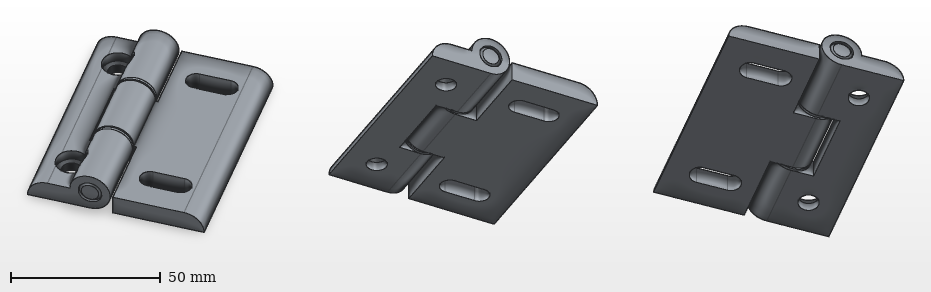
import cadquery as cq

hinge_width = 62.0
hinge_length = 76.0
barrel_radius = 7.1
axis_x = 22.0
axis_z = barrel_radius
leaf_thickness = barrel_radius
edge_radius = leaf_thickness

pin_radius = 4.1
pin_chamfer = 1.1

swing_clearance = 0.9
middle_knuckle_length = 23.7
washer_thickness = 0.9
washer_gap = 0.6
knuckle_opening = middle_knuckle_length + 2 * (washer_thickness + washer_gap)
clearance_radius = barrel_radius + swing_clearance
opening_left_x = axis_x - clearance_radius
plate_left_x = axis_x + clearance_radius

fixing_spacing = 50.9
fixing_y_positions = [-fixing_spacing / 2, fixing_spacing / 2]
hole_x = 11.55
hole_diameter = 7.1
counterbore_diameter = 11.0
counterbore_floor_z = 3.35
slot_x = 44.5
slot_length = 18.1
slot_width = hole_diameter


def outline_from(start_x, start_z):
    """Start an outline in the XZ plane at the given point."""
    return cq.Workplane("XZ").moveTo(start_x, start_z)


def extrude_centred(outline, length):
    """Extrude an XZ outline along Y, centred on y = 0."""
    return outline.extrude(length).translate((0, length / 2, 0))


def cylinder_on_axis(radius, length):
    """Cylinder about the hinge axis, centred on y = 0."""
    circle = cq.Workplane("XZ").center(axis_x, axis_z).circle(radius)
    return extrude_centred(circle, length)


def box_between(x_start, x_end, height, length):
    """Block standing on z = 0, centred on y = 0."""
    outline = (
        outline_from(x_start, 0)
        .lineTo(x_end, 0)
        .lineTo(x_end, height)
        .lineTo(x_start, height)
        .close()
    )
    return extrude_centred(outline, length)


def rounded_plate(inner_x, outer_x):
    """Flat plate whose outer top edge is a full quarter round."""
    inward = 1 if inner_x > outer_x else -1
    corner_x = outer_x + inward * edge_radius
    outline = (
        outline_from(inner_x, 0)
        .lineTo(outer_x, 0)
        .radiusArc((corner_x, leaf_thickness), inward * edge_radius)
        .lineTo(inner_x, leaf_thickness)
        .close()
    )
    return extrude_centred(outline, hinge_length)


def make_fixed_leaf():
    """Leaf with the two outer knuckles and the counterbored holes."""
    leaf = rounded_plate(axis_x, 0).union(cylinder_on_axis(barrel_radius, hinge_length))
    opening = box_between(opening_left_x, plate_left_x, 2 * barrel_radius, knuckle_opening)
    leaf = leaf.cut(opening).cut(cylinder_on_axis(pin_radius, hinge_length))
    hole_centres = [(hole_x, y) for y in fixing_y_positions]
    holes = cq.Workplane("XY").pushPoints(hole_centres).circle(hole_diameter / 2).extrude(counterbore_floor_z)
    counterbores = (
        cq.Workplane("XY", origin=(0, 0, counterbore_floor_z))
        .pushPoints(hole_centres)
        .circle(counterbore_diameter / 2)
        .extrude(2 * barrel_radius - counterbore_floor_z)
    )
    return leaf.cut(holes).cut(counterbores)


def make_slotted_leaf():
    """Leaf with the middle knuckle and the adjustment slots."""
    web = box_between(axis_x, plate_left_x, leaf_thickness, middle_knuckle_length)
    leaf = (
        rounded_plate(plate_left_x, hinge_width)
        .union(web)
        .union(cylinder_on_axis(barrel_radius, middle_knuckle_length))
        .cut(cylinder_on_axis(pin_radius, middle_knuckle_length))
    )
    slots = (
        cq.Workplane("XY")
        .pushPoints([(slot_x, y) for y in fixing_y_positions])
        .slot2D(slot_length, slot_width)
        .extrude(leaf_thickness)
    )
    return leaf.cut(slots)


def make_pin():
    """Hinge pin, flush with the leaf ends and chamfered at both ends."""
    return cylinder_on_axis(pin_radius, hinge_length).faces("<Y or >Y").chamfer(pin_chamfer)


def make_washer(side):
    """Spacer ring against an outer knuckle; side is -1 or 1 along Y."""
    centre_y = side * (knuckle_opening - washer_thickness) / 2
    ring = cylinder_on_axis(barrel_radius, washer_thickness).cut(cylinder_on_axis(pin_radius, washer_thickness))
    return ring.translate((0, centre_y, 0))


fixed_leaf = make_fixed_leaf()
slotted_leaf = make_slotted_leaf()
pin = make_pin()
washers = [make_washer(side) for side in (-1, 1)]

result = cq.Compound.makeCompound(
    [fixed_leaf.val(), slotted_leaf.val(), pin.val(), *[washer.val() for washer in washers]]
)